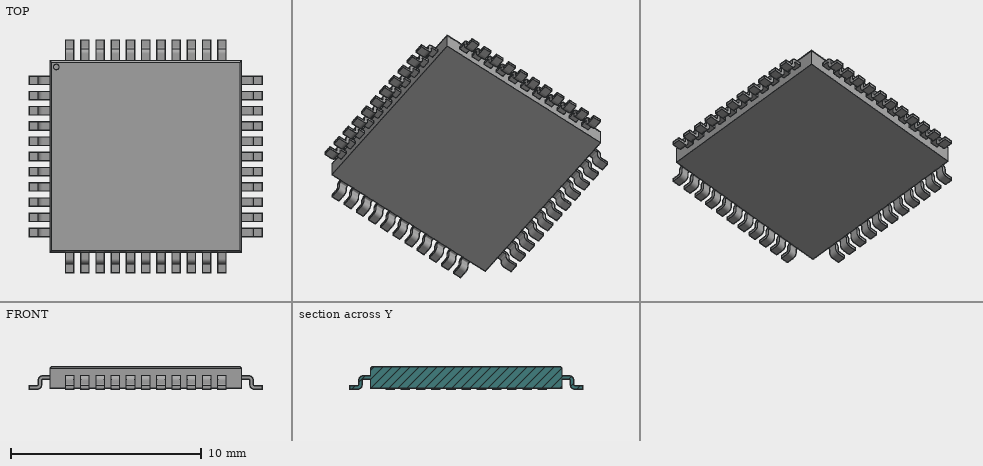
import cadquery as cq


overall_span = 12.25
overall_height = 1.2

body_side = 10.1
standoff = 0.05
body_chamfer = 0.1

mark_diameter = 0.3
mark_inset = 0.34
mark_depth = 0.05

leads_per_side = 11
lead_row_length = 8.0
lead_width = 0.45
lead_thickness = 0.2
lead_top = 0.72
shank_setback = 0.47
inner_bend_radius = 0.06
lead_embed = 0.12

lead_pitch = lead_row_length / (leads_per_side - 1)
outer_bend_radius = inner_bend_radius + lead_thickness


def make_body():
    height = overall_height - standoff
    body = cq.Workplane("XY").workplane(offset=standoff).rect(body_side, body_side).extrude(height)
    return body.faces(">Z").edges().chamfer(body_chamfer)


def make_pin_one_mark():
    offset = body_side / 2 - mark_inset
    floor = cq.Workplane("XY").workplane(offset=overall_height - mark_depth)
    return floor.center(-offset, offset).circle(mark_diameter / 2).extrude(mark_depth)


def make_lead():
    """One lead on the +X side, centred on Y = 0, with its foot resting on Z = 0."""
    toe = overall_span / 2
    shank_outer = toe - shank_setback
    shank_inner = shank_outer - lead_thickness
    root = body_side / 2 - lead_embed
    arm_bottom = lead_top - lead_thickness
    profile = (
        cq.Workplane("XZ")
        .moveTo(root, lead_top)
        .lineTo(shank_outer, lead_top)
        .lineTo(shank_outer, lead_thickness)
        .lineTo(toe, lead_thickness)
        .lineTo(toe, 0)
        .lineTo(shank_inner, 0)
        .lineTo(shank_inner, arm_bottom)
        .lineTo(root, arm_bottom)
        .close()
    )
    lead = profile.extrude(lead_width / 2, both=True)

    bends = [
        (shank_outer, lead_top, outer_bend_radius),
        (shank_inner, arm_bottom, inner_bend_radius),
        (shank_outer, lead_thickness, inner_bend_radius),
        (shank_inner, 0, outer_bend_radius),
    ]
    for x, z, radius in bends:
        corner = cq.selectors.NearestToPointSelector((x, 0, z))
        lead = lead.edges("|Y").edges(corner).fillet(radius)
    return lead


def make_lead_row():
    """All leads of the +X side, centred on Y = 0."""
    places = [(0, index * lead_pitch - lead_row_length / 2) for index in range(leads_per_side)]
    lead = make_lead().val()
    return cq.Workplane("XY").pushPoints(places).eachpoint(lambda place: lead.moved(place), combine=False)


result = make_body().cut(make_pin_one_mark())

lead_row = make_lead_row()
for side in range(4):
    result = result.union(lead_row.rotate((0, 0, 0), (0, 0, 1), 90 * side))